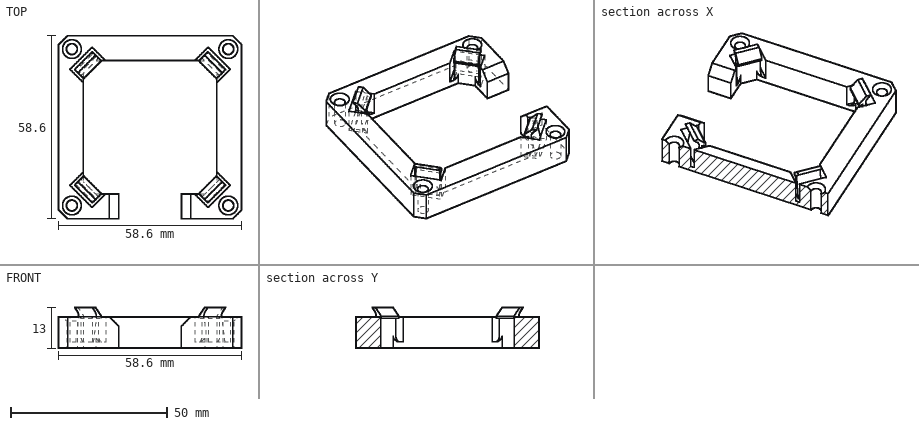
import cadquery as cq
import math

outer_size = 58.6
frame_height = 10.0
wall = 8.0
outer_chamfer = 2.9
inner_flat = 5.5
gap_width = 20.0
gap_chamfer = 3.0

hole_pitch = 50.0
hole_diameter = 3.4
countersink_diameter = 6.0
countersink_angle = 90.0

clip_width = 8.0
clip_height = 13.0
clip_clearance = 1.0
pocket_floor = 2.0
pocket_length = 3.85
root_radius = 1.8

nose_overhang = 1.37
nose_bottom = 9.6
nose_top = 10.25
tip_inner = 1.25
tip_outer = 2.75
neck = 0.95
neck_radius = 2.5
neck_height = 10.1
lip_angle = 38.0
back_taper = 10.0

inner_size = outer_size - 2 * wall
pocket_width = clip_width + 2 * clip_clearance
flat_distance = inner_size / math.sqrt(2) - inner_flat / 2
corner_angles = [45, 135, 225, 315]


def make_ring():
    """Square ring with bevelled outer corners and flats across the inner corners."""
    ring = cq.Workplane("XY").rect(outer_size, outer_size).extrude(frame_height)
    ring = ring.edges("|Z").chamfer(outer_chamfer)
    opening = cq.Workplane("XY").rect(inner_size, inner_size).extrude(frame_height)
    opening = opening.edges("|Z").chamfer(inner_flat / math.sqrt(2))
    return ring.cut(opening)


def make_gap():
    """Opening through the -Y side, widened at the top by a chamfer on each end."""
    half_gap = gap_width / 2
    half_top = half_gap + gap_chamfer
    chamfer_start = frame_height - gap_chamfer
    return (
        cq.Workplane("XZ", origin=(0, -inner_size / 2, 0))
        .polyline([
            (-half_gap, 0),
            (half_gap, 0),
            (half_gap, chamfer_start),
            (half_top, frame_height),
            (-half_top, frame_height),
            (-half_gap, chamfer_start),
        ])
        .close()
        .extrude(wall)
    )


def make_pocket():
    """Clip pocket, open to the centre of the frame, on the +X axis."""
    return cq.Workplane("XY", origin=(0, 0, pocket_floor)).box(
        flat_distance + pocket_length,
        pocket_width,
        frame_height - pocket_floor,
        centered=(False, True, False),
    )


def neck_point(angle):
    """Point on the neck curve whose tangent leans the given angle (degrees) from vertical."""
    turn = math.radians(angle)
    return (
        neck + neck_radius * (1 - math.cos(turn)),
        neck_height + neck_radius * math.sin(turn),
    )


def make_clip():
    """Hooked clip with a filleted inner root, standing on the pocket floor on the +X axis."""
    neck_low = neck_point(-back_taper)
    neck_high = neck_point(lip_angle)
    root_top = pocket_floor + root_radius
    taper = math.tan(math.radians(back_taper))
    back_foot = neck_low[0] + neck_low[1] * taper
    fillet_dip = root_radius * (1 - math.sqrt(0.5))
    root_mid = pocket_floor + fillet_dip

    profile = (
        cq.Workplane("XZ", origin=(flat_distance, clip_width / 2, 0))
        .moveTo(-root_radius, pocket_floor)
        .threePointArc((-fillet_dip, root_mid), (0, root_top))
        .lineTo(0, nose_bottom)
        .lineTo(-nose_overhang, nose_bottom)
        .lineTo(-nose_overhang, nose_top)
        .lineTo(tip_inner, clip_height)
        .lineTo(tip_outer, clip_height)
        .lineTo(*neck_high)
        .threePointArc((neck, neck_height), neck_low)
        .lineTo(back_foot, 0)
        .lineTo(-root_radius, 0)
        .close()
    )
    return profile.extrude(clip_width)


def make_clip_trim():
    """Region the clips may fill: the ring below the nose, the full outline above it."""
    above = cq.Workplane("XY", origin=(0, 0, nose_bottom)).rect(outer_size, outer_size)
    return make_ring().union(above.extrude(clip_height - nose_bottom))


def cut_screw_holes(body):
    """Countersunk through holes at the four corners."""
    return (
        body.faces(">Z")
        .workplane(origin=(0, 0, frame_height))
        .rect(hole_pitch, hole_pitch, forConstruction=True)
        .vertices()
        .cskHole(hole_diameter, countersink_diameter, countersink_angle)
    )


frame = make_ring().cut(make_gap())
pocket = make_pocket()
clip = make_clip()
clips = cq.Workplane("XY")
for corner_angle in corner_angles:
    frame = frame.cut(pocket.rotate((0, 0, 0), (0, 0, 1), corner_angle))
    clips = clips.add(clip.rotate((0, 0, 0), (0, 0, 1), corner_angle))
trimmed_clips = make_clip_trim().intersect(clips.combine())

result = cut_screw_holes(frame).union(trimmed_clips)